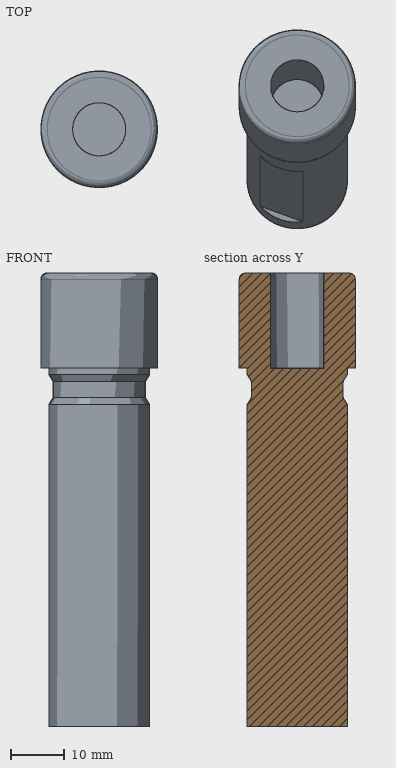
import cadquery as cq

total_height = 85.6
head_diameter = 22.0
head_height = 18.0
head_fillet = 1.2
shaft_diameter = 19.0

groove_diameter = 17.4
groove_offset = 1.2
groove_flank = 1.3
groove_floor = 3.1

bore_diameter = 10.0
bore_depth = head_height

flat_depth = 1.0
flat_bottom = 5.7
flat_top = 52.4
flat_end_slope = 0.3

head_radius = head_diameter / 2
shaft_radius = shaft_diameter / 2
groove_radius = groove_diameter / 2
head_bottom = total_height - head_height


def make_body():
    """Revolve the half profile of the shaft, groove and head."""
    flank_top = head_bottom - groove_offset
    floor_top = flank_top - groove_flank
    floor_bottom = floor_top - groove_floor
    flank_bottom = floor_bottom - groove_flank
    profile = (
        cq.Workplane("XZ")
        .lineTo(shaft_radius, 0)
        .lineTo(shaft_radius, flank_bottom)
        .lineTo(groove_radius, floor_bottom)
        .lineTo(groove_radius, floor_top)
        .lineTo(shaft_radius, flank_top)
        .lineTo(shaft_radius, head_bottom)
        .lineTo(head_radius, head_bottom)
        .lineTo(head_radius, total_height)
        .lineTo(0, total_height)
        .close()
    )
    body = profile.revolve(360, (0, 0, 0), (0, 1, 0))
    return body.faces(">Z").edges().fillet(head_fillet)


def make_flat_cutter():
    """Trapezoidal prism along X whose ends flare outward."""
    floor_y = shaft_radius - flat_depth
    outer_y = shaft_radius + flat_depth
    return (
        cq.Workplane("YZ")
        .moveTo(floor_y, flat_bottom + flat_end_slope)
        .lineTo(outer_y, flat_bottom - flat_end_slope)
        .lineTo(outer_y, flat_top + flat_end_slope)
        .lineTo(floor_y, flat_top - flat_end_slope)
        .close()
        .extrude(shaft_radius, both=True)
    )


body = make_body().faces(">Z").workplane().hole(bore_diameter, bore_depth)
result = body.cut(make_flat_cutter())